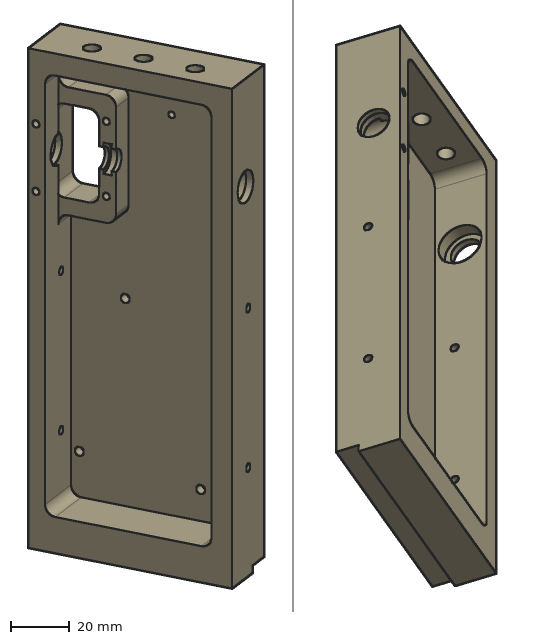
import cadquery as cq

WIDTH = 78.0
DEPTH = 24.0
HEIGHT = 185.0
CUT_MARGIN = 1.8

POCKET_LEFT = 6.5
POCKET_RIGHT = 70.1
POCKET_BOTTOM = 13.5
POCKET_TOP = 176.9
POCKET_DEPTH = 19.5
CORNER_RADIUS = 3.9

PORT_Z = 145.0
PORT_Y = 10.0
BOSS_RIGHT = 28.5
BOSS_HEIGHT = 47.4
WINDOW_LEFT = 4.8
WINDOW_RIGHT = 22.0
WINDOW_HEIGHT = 34.8

PORT_MOUTH_DIAMETER = 11.8
PORT_MOUTH_DEPTH = 2.2
PORT_DIAMETER = 11.7
BOSS_PORT_DIAMETER = 8.3
GROOVE_DIAMETER = 11.5
GROOVE_LEFT = 23.7
GROOVE_WIDTH = 3.1
COUNTERBORE_DIAMETER = 16.1
COUNTERBORE_DEPTH = 5.2

SCREW_DIAMETER = 2.5
SCREW_DEPTH = 7.4
DRILL_POINT_LENGTH = 0.7
RIM_SCREW_X = 3.0
RIM_SCREW_SPACING = 25.0
BOSS_SCREW_X = 24.8
BOSS_SCREW_SPACING = 27.8
FLOOR_HOLE_DIAMETER = 3.3
SMALL_FLOOR_HOLE_DIAMETER = 2.4
FLOOR_HOLES = [(27.2, 90.3), (9.6, 30.3), (56.0, 25.2)]
SMALL_FLOOR_HOLE = (45.0, 161.7)
SIDE_HOLE_DIAMETER = 3.0
SIDE_HOLE_HEIGHTS = [40.3, 99.3]
TOP_HOLE_DIAMETER = 6.1
TOP_HOLE_SPACING = 19.8

STEP_DEPTH = 8.5
STEP_HEIGHT = 2.8


def box(x_range, y_range, z_range):
    """Axis-aligned box between the given limits."""
    ranges = (x_range, y_range, z_range)
    sizes = [high - low for low, high in ranges]
    corner = tuple(low for low, high in ranges)
    return cq.Workplane("XY").box(*sizes, centered=False).translate(corner)


def centred_range(centre, size):
    """Lower and upper limits of a span about its centre."""
    return (centre - size / 2, centre + size / 2)


def cylinder(start, direction, diameter, length):
    """Round bar from a start point along a direction."""
    solid = cq.Solid.makeCylinder(diameter / 2, length, cq.Vector(*start), cq.Vector(*direction))
    return cq.Workplane(obj=solid)


def along_x(x_start, x_end, diameter, y=PORT_Y, z=PORT_Z):
    """Bar along X, on the side port axis unless placed elsewhere."""
    return cylinder((x_start, y, z), (1, 0, 0), diameter, x_end - x_start)


def along_y(x, z, y_start, y_end, diameter):
    """Bar along Y between two depths."""
    return cylinder((x, y_start, z), (0, 1, 0), diameter, y_end - y_start)


def screw_hole(x, y_face, z):
    """Blind hole into a -Y face, ending in a drill point."""
    radius = SCREW_DIAMETER / 2
    y_point = y_face + SCREW_DEPTH
    straight = along_y(x, z, y_face, y_point, SCREW_DIAMETER)
    point = cq.Solid.makeCone(radius, 0, DRILL_POINT_LENGTH, cq.Vector(x, y_point, z), cq.Vector(0, 1, 0))
    return straight.union(cq.Workplane(obj=point))


def make_pocket():
    """Pocket cavity, leaving the boss standing on its floor."""
    cavity = box((POCKET_LEFT, POCKET_RIGHT), (-CUT_MARGIN, POCKET_DEPTH), (POCKET_BOTTOM, POCKET_TOP))
    boss = box(
        (POCKET_LEFT, BOSS_RIGHT), (PORT_Y, POCKET_DEPTH), centred_range(PORT_Z, BOSS_HEIGHT)
    )
    return cavity.cut(boss).edges("|Y").fillet(CORNER_RADIUS)


def make_window():
    """Rounded opening through the boss to the rear face."""
    window = box(
        (WINDOW_LEFT, WINDOW_RIGHT), (PORT_Y, DEPTH + CUT_MARGIN), centred_range(PORT_Z, WINDOW_HEIGHT)
    )
    return window.edges("|Y").fillet(CORNER_RADIUS)


body = box((0, WIDTH), (0, DEPTH), (0, HEIGHT))
body = body.cut(make_pocket())
body = body.cut(make_window())

body = body.cut(along_x(-CUT_MARGIN, PORT_MOUTH_DEPTH, PORT_MOUTH_DIAMETER))
body = body.cut(along_x(0, POCKET_LEFT, PORT_DIAMETER))
body = body.cut(along_x(POCKET_LEFT, BOSS_RIGHT + CUT_MARGIN, BOSS_PORT_DIAMETER))
body = body.cut(along_x(GROOVE_LEFT, GROOVE_LEFT + GROOVE_WIDTH, GROOVE_DIAMETER))
body = body.cut(along_x(POCKET_RIGHT - CUT_MARGIN, WIDTH + CUT_MARGIN, PORT_DIAMETER))
body = body.cut(along_x(POCKET_RIGHT - CUT_MARGIN, POCKET_RIGHT + COUNTERBORE_DEPTH, COUNTERBORE_DIAMETER))

for z in centred_range(PORT_Z, RIM_SCREW_SPACING):
    body = body.cut(screw_hole(RIM_SCREW_X, 0, z))
for z in centred_range(PORT_Z, BOSS_SCREW_SPACING):
    body = body.cut(screw_hole(BOSS_SCREW_X, PORT_Y, z))

for x, z in FLOOR_HOLES:
    body = body.cut(along_y(x, z, PORT_Y, DEPTH + CUT_MARGIN, FLOOR_HOLE_DIAMETER))
body = body.cut(along_y(*SMALL_FLOOR_HOLE, PORT_Y, DEPTH + CUT_MARGIN, SMALL_FLOOR_HOLE_DIAMETER))

for z in SIDE_HOLE_HEIGHTS:
    body = body.cut(along_x(-CUT_MARGIN, WIDTH + CUT_MARGIN, SIDE_HOLE_DIAMETER, y=DEPTH / 2, z=z))

for offset in (-TOP_HOLE_SPACING, 0, TOP_HOLE_SPACING):
    top_start = (WIDTH / 2 + offset, PORT_Y, HEIGHT)
    body = body.cut(cylinder(top_start, (0, 0, -1), TOP_HOLE_DIAMETER, HEIGHT - POCKET_TOP))

body = body.cut(box((0, WIDTH), (DEPTH - STEP_DEPTH, DEPTH), (0, STEP_HEIGHT)))

result = body